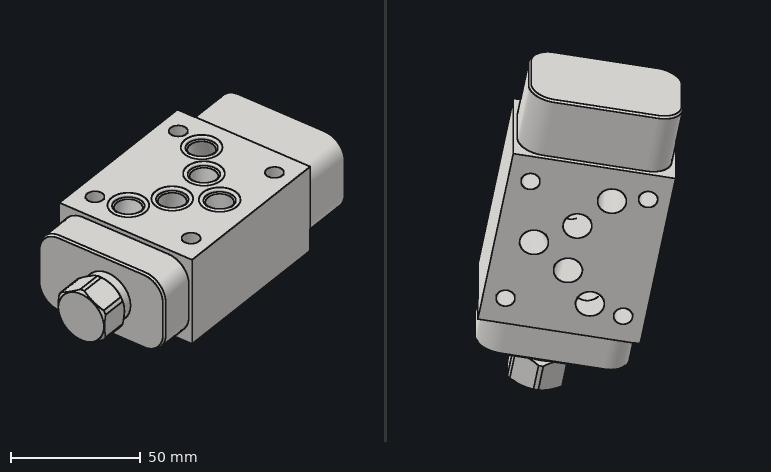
import cadquery as cq
import math


BLOCK_WIDTH = 63.5
BLOCK_LENGTH = 76.5
BLOCK_HEIGHT = 40.0
BLOCK_REAR = BLOCK_LENGTH / 2
BLOCK_FRONT = -BLOCK_LENGTH / 2

BOLT_SPACING_X = 46.0
BOLT_SPACING_Y = 54.0
BOLT_HOLE_DIAMETER = 7.3

RING_OUTER_DIAMETER = 16.0
RING_SECTION = 1.8
RING_PROTRUSION = 0.5
SEAT_DEPTH = RING_SECTION - RING_PROTRUSION
SEAT_FLOOR = BLOCK_HEIGHT - SEAT_DEPTH

PORT_DIAMETER = 11.0
BEND_HEIGHT = BLOCK_HEIGHT / 2
TANK_X = -9.5
TANK_Y = 23.8
TANK_SHIFT = 5.7
SERVICE_X = 1.6
SERVICE_Y = 10.3
PRESSURE_X = 16.7
PORTS = [
    ((TANK_X, TANK_Y), (0, TANK_SHIFT)),
    ((TANK_X, -TANK_Y), (0, -TANK_SHIFT)),
    ((SERVICE_X, SERVICE_Y), (1.6, -4.3)),
    ((SERVICE_X, -SERVICE_Y), (-2.4, -0.4)),
    ((PRESSURE_X, 0), (5.1, 0)),
]

COVER_WIDTH = 60.5
COVER_HEIGHT = 35.8
COVER_CORNER_RADIUS = 9.9
COVER_CHAMFER = 0.8
COVER_CENTRE_Z = BLOCK_HEIGHT / 2
REAR_COVER_LENGTH = 25.2
FRONT_COVER_LENGTH = 15.8

ADJUSTER_X = 3.2
ADJUSTER_Z = COVER_CENTRE_Z - 0.1
OVERALL_LENGTH = 135.0
NECK_DIAMETER = 21.6
NECK_LENGTH = 4.0
HEX_ACROSS_FLATS = 22.3
HEX_ROUNDED_DIAMETER = 24.7
HEX_FACE_DIAMETER = 21.7
HEX_FACE_CHAMFER = 0.8
HEX_BACK_CHAMFER = 1.5
HEX_LENGTH = OVERALL_LENGTH - BLOCK_LENGTH - REAR_COVER_LENGTH - FRONT_COVER_LENGTH - NECK_LENGTH


def oil_port(position, shift):
    """Round ring seat whose bore slants aside to mid-height and back to the underside."""
    x, y = position
    shift_x, shift_y = shift
    seat = (
        cq.Workplane("XY", origin=(x, y, SEAT_FLOOR))
        .circle(RING_OUTER_DIAMETER / 2)
        .extrude(SEAT_DEPTH)
    )
    bore = (
        cq.Workplane("XY", origin=(x, y, SEAT_FLOOR))
        .circle(PORT_DIAMETER / 2)
        .workplane(offset=BEND_HEIGHT - SEAT_FLOOR)
        .center(shift_x, shift_y)
        .circle(PORT_DIAMETER / 2)
        .workplane(offset=-BEND_HEIGHT)
        .center(-shift_x, -shift_y)
        .circle(PORT_DIAMETER / 2)
        .loft(ruled=True)
    )
    return seat.union(bore)


def valve_block():
    """Rectangular block with four bolt holes and five oil ports."""
    block = cq.Workplane("XY").box(BLOCK_WIDTH, BLOCK_LENGTH, BLOCK_HEIGHT, centered=(True, True, False))
    block = (
        block.faces(">Z")
        .workplane(origin=(0, 0, BLOCK_HEIGHT))
        .rect(BOLT_SPACING_X, BOLT_SPACING_Y, forConstruction=True)
        .vertices()
        .hole(BOLT_HOLE_DIAMETER)
    )
    for position, shift in PORTS:
        block = block.cut(oil_port(position, shift))
    return block


def o_ring(x, y):
    """Ring of round section that rests on the seat floor and stands proud of the block."""
    section_radius = RING_SECTION / 2
    return cq.Solid.makeTorus(
        RING_OUTER_DIAMETER / 2 - section_radius,
        section_radius,
        cq.Vector(x, y, SEAT_FLOOR + section_radius),
        cq.Vector(0, 0, 1),
    )


def end_cover(start_y, length):
    """Rounded rectangular cover running from start_y toward +Y."""
    return (
        cq.Workplane("XZ", origin=(0, start_y, COVER_CENTRE_Z))
        .rect(COVER_WIDTH, COVER_HEIGHT)
        .extrude(-length)
        .edges("|Y")
        .fillet(COVER_CORNER_RADIUS)
    )


def rear_cover():
    """Plain cover on the rear of the block, chamfered around its outer face."""
    return end_cover(BLOCK_REAR, REAR_COVER_LENGTH).faces(">Y").edges().chamfer(COVER_CHAMFER)


def adjuster(start_y):
    """Round neck and chamfered hexagon running from start_y toward -Y."""
    base = cq.Workplane("XZ", origin=(ADJUSTER_X, start_y, ADJUSTER_Z))
    neck = base.circle(NECK_DIAMETER / 2).extrude(NECK_LENGTH)

    across_corners = HEX_ACROSS_FLATS / math.cos(math.pi / 6)
    hexagon = (
        base.workplane(offset=NECK_LENGTH)
        .transformed(rotate=(0, 0, 90))
        .polygon(6, across_corners)
        .extrude(HEX_LENGTH)
    )
    neck_radius = NECK_DIAMETER / 2
    rounded_radius = HEX_ROUNDED_DIAMETER / 2
    envelope = (
        cq.Workplane("XY", origin=(ADJUSTER_X, start_y - NECK_LENGTH, ADJUSTER_Z))
        .moveTo(0, 0)
        .lineTo(neck_radius, 0)
        .lineTo(rounded_radius, -HEX_BACK_CHAMFER)
        .lineTo(rounded_radius, HEX_FACE_CHAMFER - HEX_LENGTH)
        .lineTo(HEX_FACE_DIAMETER / 2, -HEX_LENGTH)
        .lineTo(0, -HEX_LENGTH)
        .close()
        .revolve(360, (0, 0, 0), (0, 1, 0))
    )
    return neck.union(hexagon.intersect(envelope))


def front_cover():
    """Shorter cover on the front of the block, carrying the adjuster."""
    outer_face = BLOCK_FRONT - FRONT_COVER_LENGTH
    cover = end_cover(outer_face, FRONT_COVER_LENGTH).faces("<Y").edges().chamfer(COVER_CHAMFER)
    return cover.union(adjuster(outer_face))


o_rings = [o_ring(*position) for position, shift in PORTS]

result = cq.Compound.makeCompound(
    [valve_block().val(), rear_cover().val(), front_cover().val(), *o_rings]
)